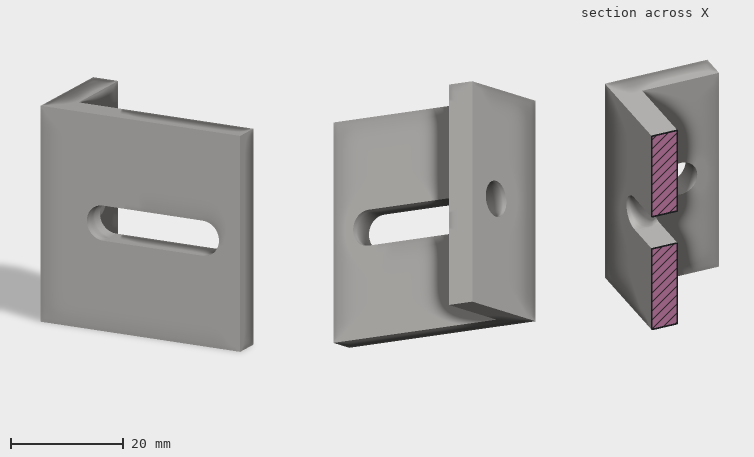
import cadquery as cq

plate_length = 40.0
flange_length = 20.0
height = 40.0
thickness = 5.0
bore_diameter = 6.5
slot_travel = 20.0

slot_center_x = (thickness + plate_length) / 2
hole_center_y = (thickness + flange_length) / 2
mid_height = height / 2


def make_angle():
    """L-shaped profile extruded along Z, outer corner at the origin."""
    return (
        cq.Workplane("XY")
        .moveTo(0, 0)
        .lineTo(plate_length, 0)
        .lineTo(plate_length, thickness)
        .lineTo(thickness, thickness)
        .lineTo(thickness, flange_length)
        .lineTo(0, flange_length)
        .close()
        .extrude(height)
    )


def make_slot_cutter():
    """Round-ended slot through the plate, along Y."""
    return (
        cq.Workplane("XZ")
        .center(slot_center_x, mid_height)
        .slot2D(slot_travel + bore_diameter, bore_diameter)
        .extrude(-thickness)
    )


def make_hole_cutter():
    """Round hole through the flange, along X."""
    return (
        cq.Workplane("YZ")
        .center(hole_center_y, mid_height)
        .circle(bore_diameter / 2)
        .extrude(thickness)
    )


result = make_angle().cut(make_slot_cutter()).cut(make_hole_cutter())